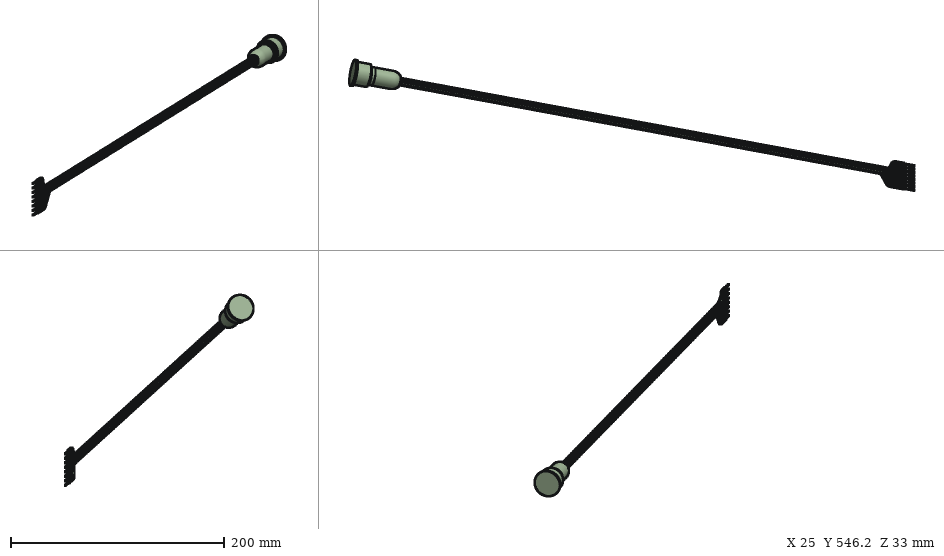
import math

import cadquery as cq

TOTAL_LENGTH = 546.2

FLANGE_DIAMETER = 25.0
FLANGE_THICKNESS = 1.8
BODY_DIAMETER = 22.0
BODY_END = 15.6
BODY_TIP_DIAMETER = 20.8
BODY_CHAMFER = (BODY_DIAMETER - BODY_TIP_DIAMETER) / 2
GROOVE_DIAMETER = 13.75
GROOVE_END = 16.6
NECK_DIAMETER = 17.4
NECK_END = 20.0
SLEEVE_DIAMETER = 17.5
SLEEVE_END = 37.0
OUTLET_DIAMETER = 10.0
OUTLET_END = 45.6
OUTLET_BULGE = 1.3

WIRE_DIAMETER = 2.2
RING_WIRES = 7
RING_RADIUS = 2.6
WIRE_OVERLAP = 2.0

PIN_DIAMETER = 1.1
PIN_LENGTH = 10.0
PIN_PITCH = 2 * WIRE_DIAMETER
STEEPEST_BEND = math.radians(70)
BEND_RADIUS = 4.0
BEND_SHARE = 0.9
FAN = [(-4, 12.5), (2, 8.0), (3, 7.5), (1, 8.0), (-1, 8.5), (-2, 8.5), (-3, 9.0)]

PIN_TIP_Y = -TOTAL_LENGTH
INSULATION_END_Y = PIN_TIP_Y + PIN_LENGTH
WIRE_START_Y = -OUTLET_END + WIRE_OVERLAP


def rod(x, z, start_y, end_y, diameter):
    """Straight round rod running towards -Y."""
    base = cq.Workplane(cq.Plane((x, start_y, z), (1, 0, 0), (0, -1, 0)))
    return base.circle(diameter / 2).extrude(start_y - end_y)


def connector():
    """Turned body of the connector, revolved about the Y axis."""
    sleeve_radius = SLEEVE_DIAMETER / 2
    outlet_radius = OUTLET_DIAMETER / 2
    bulge_shift = OUTLET_BULGE * math.sqrt(0.5)
    bulge_point = (
        (sleeve_radius + outlet_radius) / 2 + bulge_shift,
        -(SLEEVE_END + OUTLET_END) / 2 - bulge_shift,
    )
    profile = (
        cq.Workplane("XY")
        .lineTo(FLANGE_DIAMETER / 2, 0)
        .lineTo(FLANGE_DIAMETER / 2, -FLANGE_THICKNESS)
        .lineTo(BODY_DIAMETER / 2, -FLANGE_THICKNESS)
        .lineTo(BODY_DIAMETER / 2, -BODY_END + BODY_CHAMFER)
        .lineTo(BODY_TIP_DIAMETER / 2, -BODY_END)
        .lineTo(GROOVE_DIAMETER / 2, -BODY_END)
        .lineTo(GROOVE_DIAMETER / 2, -GROOVE_END)
        .lineTo(NECK_DIAMETER / 2, -GROOVE_END)
        .lineTo(NECK_DIAMETER / 2, -NECK_END)
        .lineTo(sleeve_radius, -NECK_END)
        .lineTo(sleeve_radius, -SLEEVE_END)
        .threePointArc(bulge_point, (outlet_radius, -OUTLET_END))
        .lineTo(0, -OUTLET_END)
        .close()
    )
    return profile.revolve(360, (0, 0, 0), (0, 1, 0))


def fanned_wire(x, z, pin_z, straight_length):
    """Insulated wire that leaves the bundle in an S-bend and ends level with its pin."""
    offset = math.hypot(x, pin_z - z)
    sideways = cq.Vector(-x / offset, 0, (pin_z - z) / offset)
    forward = cq.Vector(0, -1, 0)
    plane = cq.Plane((x, WIRE_START_Y, z), forward, forward.cross(sideways))

    largest_fit = math.acos(max(-1, 1 - BEND_SHARE * offset / (2 * BEND_RADIUS)))
    bend_angle = min(STEEPEST_BEND, largest_fit)
    arc_run = BEND_RADIUS * math.sin(bend_angle)
    arc_rise = BEND_RADIUS * (1 - math.cos(bend_angle))
    half_run = BEND_RADIUS * math.sin(bend_angle / 2)
    half_rise = BEND_RADIUS * (1 - math.cos(bend_angle / 2))
    slope_run = (offset - 2 * arc_rise) / math.tan(bend_angle)
    end = WIRE_START_Y - INSULATION_END_Y
    bend_end = end - straight_length
    bend_start = bend_end - slope_run - 2 * arc_run
    path = (
        cq.Workplane(plane)
        .lineTo(bend_start, 0)
        .threePointArc((bend_start + half_run, half_rise), (bend_start + arc_run, arc_rise))
        .lineTo(bend_end - arc_run, offset - arc_rise)
        .threePointArc((bend_end - half_run, offset - half_rise), (bend_end, offset))
        .lineTo(end, offset)
    )
    section = cq.Workplane(cq.Plane((x, WIRE_START_Y, z), (1, 0, 0), (0, -1, 0)))
    return section.circle(WIRE_DIAMETER / 2).sweep(path)


def pin(pin_z):
    """Bare conductor at the end of a wire."""
    return rod(0, pin_z, INSULATION_END_Y + WIRE_OVERLAP, PIN_TIP_Y, PIN_DIAMETER)


result = connector()
result = result.union(rod(0, 0, WIRE_START_Y, INSULATION_END_Y, WIRE_DIAMETER))
result = result.union(pin(0))
for index, (row_place, straight_length) in enumerate(FAN):
    angle = 2 * math.pi * index / RING_WIRES
    wire_x = RING_RADIUS * math.cos(angle)
    wire_z = RING_RADIUS * math.sin(angle)
    pin_z = row_place * PIN_PITCH
    result = result.union(fanned_wire(wire_x, wire_z, pin_z, straight_length))
    result = result.union(pin(pin_z))